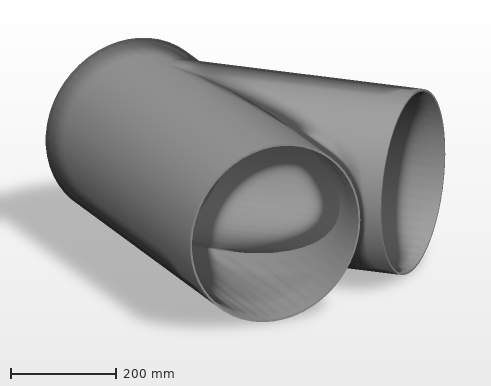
import cadquery as cq
import math

outer_diameter = 356.0
bore_diameter = 348.0
run_length = 653.0
overall_depth = 660.0
branch_angle = 45.0
junction_offset = 148.5

outer_radius = outer_diameter / 2
branch_sine = math.sin(math.radians(branch_angle))
branch_cosine = math.cos(math.radians(branch_angle))

branch_length = (overall_depth - outer_radius - outer_radius * branch_cosine) / branch_sine


def run_cylinder(diameter):
    """Straight pipe along X, starting at the left end."""
    return cq.Workplane("YZ").circle(diameter / 2).extrude(run_length)


def branch_cylinder(diameter):
    """Inclined pipe from the crossing of the axes toward +X and +Y."""
    base = cq.Plane(
        origin=(junction_offset, 0, 0),
        xDir=(0, 0, 1),
        normal=(branch_cosine, branch_sine, 0),
    )
    return cq.Workplane(base).circle(diameter / 2).extrude(branch_length)


def lateral(diameter):
    """Run and branch of one diameter, joined at the crossing of their axes."""
    return run_cylinder(diameter).union(branch_cylinder(diameter))


result = lateral(outer_diameter).cut(lateral(bore_diameter))